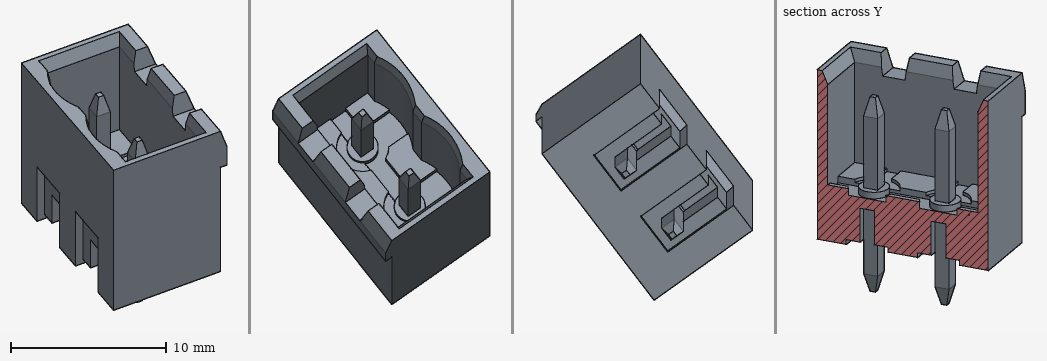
import cadquery as cq


width = 12.18
depth = 7.9
height = 11.89
overall_height = 15.24
pitch = 5.07
pole_xs = (-pitch / 2, pitch / 2)

rail_reach = 0.49
rail_slope_height = 1.52
rail_height = 3.06

side_wall = 0.76
front_wall = 1.3
rear_wall = 1.08
side_lead_in = 0.4
end_lead_in = 0.21
lead_in_depth = 0.91
cavity_floor_z = 3.96
cavity_half_x = width / 2 - side_wall
cavity_rear_y = depth - rear_wall
scallop_half_width = 2.07
scallop_sag = 0.55
scallop_overlap = 0.61

notch_floor_half_width = 0.8
notch_top_half_width = 1.0
notch_depth = rail_slope_height

pin_y = 3.8
pin_size = 1.0
pin_tip_size = 0.38
pin_tip_length = 1.3
pin_bottom_z = height - overall_height
pin_top_z = 10.27

channel_depth = 0.45
rear_slot_depth = 0.23
channel_front_y = 3.08
channel_rear_y = 4.3
relief_radius = 1.68
front_slot_width = 2.01
rear_slot_width = pin_size
collar_radius = 1.0

recess_width = 2.95
recess_height = 4.62
recess_depth = 0.56
recess_ceiling_drop = 0.34
pin_slot_height = 2.71
pin_slot_chamfer_height = 0.23
pin_slot_chamfer_depth = 0.099
foot_gap = 0.34


def box(x_min, x_max, y_min, y_max, z_min, z_max):
    """Box between the given limits."""
    size = (x_max - x_min, y_max - y_min, z_max - z_min)
    return cq.Workplane("XY").box(*size, centered=False).translate((x_min, y_min, z_min))


def side_profile(points, x_center, length):
    """Prism of a (Y, Z) outline, centred on x_center along X."""
    prism = cq.Workplane("YZ").polyline(points).close().extrude(length / 2, both=True)
    return prism.translate((x_center, 0, 0))


def housing_block():
    rail_y = depth + rail_reach
    outline = [
        (0, 0),
        (depth, 0),
        (depth, height - rail_height),
        (rail_y, height - rail_height),
        (rail_y, height - rail_slope_height),
        (depth, height),
        (0, height),
    ]
    return side_profile(outline, 0, width)


def scallop(workplane, x, front_y):
    """Arc bulging forward from the flat front wall of the cavity, closed behind that wall."""
    back_y = front_y + scallop_overlap
    return (
        workplane.moveTo(x - scallop_half_width, front_y)
        .threePointArc((x, front_y - scallop_sag), (x + scallop_half_width, front_y))
        .lineTo(x + scallop_half_width, back_y)
        .lineTo(x - scallop_half_width, back_y)
        .close()
    )


def cavity():
    lead_in_z = height - lead_in_depth
    center_y = (front_wall + cavity_rear_y) / 2
    length_x = 2 * cavity_half_x
    length_y = cavity_rear_y - front_wall
    space = box(-cavity_half_x, cavity_half_x, front_wall, cavity_rear_y, cavity_floor_z, height)
    mouth = (
        cq.Workplane("XY", origin=(0, center_y, lead_in_z))
        .rect(length_x, length_y)
        .workplane(offset=lead_in_depth)
        .rect(length_x + 2 * side_lead_in, length_y + 2 * end_lead_in)
        .loft(ruled=True)
    )
    space = space.union(mouth)
    for x in pole_xs:
        base = cq.Workplane("XY", origin=(0, 0, cavity_floor_z))
        space = space.union(scallop(base, x, front_wall).extrude(height - cavity_floor_z))
        lower = scallop(cq.Workplane("XY", origin=(0, 0, lead_in_z)), x, front_wall)
        upper = lower.workplane(offset=lead_in_depth)
        space = space.union(scallop(upper, x, front_wall - end_lead_in).loft(ruled=True))
    return space


def keying_notch(x):
    outline = [
        (x - notch_floor_half_width, height - notch_depth),
        (x + notch_floor_half_width, height - notch_depth),
        (x + notch_top_half_width, height),
        (x - notch_top_half_width, height),
    ]
    length = rear_wall + rail_reach
    return cq.Workplane("XZ", origin=(0, cavity_rear_y, 0)).polyline(outline).close().extrude(-length)


def floor_slot(x, slot_width, y_min, y_max, depth_below_floor):
    """Slot along Y in the cavity floor, between the given Y limits."""
    half = slot_width / 2
    bottom_z = cavity_floor_z - depth_below_floor
    return box(x - half, x + half, y_min, y_max, bottom_z, cavity_floor_z)


def floor_disc(x, radius, depth_below_floor):
    """Disc round a pin, reaching from the cavity floor down."""
    disc = cq.Workplane("XY", origin=(x, pin_y, cavity_floor_z)).circle(radius)
    return disc.extrude(-depth_below_floor)


def floor_relief():
    """Cross channel with a front and a rear slot at every pole, leaving a collar round each pin."""
    disc_width = 2 * relief_radius
    relief = floor_slot(0, 2 * cavity_half_x, channel_front_y, channel_rear_y, channel_depth)
    cavity_outline = cavity().translate((0, 0, -channel_depth))
    for x in pole_xs:
        front_limits = floor_slot(x, disc_width, 0, channel_rear_y, channel_depth)
        front_disc = floor_disc(x, relief_radius, channel_depth).intersect(front_limits)
        front_slot = floor_slot(x, front_slot_width, 0, pin_y, channel_depth).intersect(cavity_outline)
        rear_limits = floor_slot(x, disc_width, channel_rear_y, cavity_rear_y, rear_slot_depth)
        rear_disc = floor_disc(x, relief_radius, rear_slot_depth).intersect(rear_limits)
        rear_slot = floor_slot(x, rear_slot_width, channel_rear_y, cavity_rear_y, rear_slot_depth)
        relief = relief.union(front_disc).union(front_slot).union(rear_disc).union(rear_slot)
    for x in pole_xs:
        relief = relief.cut(floor_disc(x, collar_radius, channel_depth))
    return relief


def foot_recess(x):
    """Front recess with a sloped ceiling, the slot leading to the pin and the gap under the foot."""
    recess = side_profile(
        [
            (0, 0),
            (recess_depth, 0),
            (recess_depth, recess_height - recess_ceiling_drop),
            (0, recess_height),
        ],
        x,
        recess_width,
    )
    pin_front_y = pin_y - pin_size / 2
    pin_slot = side_profile(
        [
            (0, 0),
            (pin_front_y, 0),
            (pin_front_y, pin_slot_height - pin_slot_chamfer_height),
            (pin_front_y - pin_slot_chamfer_depth, pin_slot_height),
            (0, pin_slot_height),
        ],
        x,
        pin_size,
    )
    half = recess_width / 2
    gap = box(x - half, x + half, 0, pin_y + half, 0, foot_gap)
    return recess.union(pin_slot).union(gap)


def pin(x):
    """Square pin with a tapered tip at both ends."""
    shank_bottom_z = pin_bottom_z + pin_tip_length
    shank_top_z = pin_top_z - pin_tip_length
    shank = cq.Workplane("XY").rect(pin_size, pin_size).extrude(shank_top_z - shank_bottom_z)
    body = shank.translate((x, pin_y, shank_bottom_z))
    for z, direction in ((shank_bottom_z, -1), (shank_top_z, 1)):
        tip = (
            cq.Workplane("XY", origin=(x, pin_y, z))
            .rect(pin_size, pin_size)
            .workplane(offset=direction * pin_tip_length)
            .rect(pin_tip_size, pin_tip_size)
            .loft(ruled=True)
        )
        body = body.union(tip)
    return body


housing = housing_block().cut(cavity()).cut(floor_relief())
for pole_x in pole_xs:
    housing = housing.cut(keying_notch(pole_x)).cut(foot_recess(pole_x))

result = housing
for pole_x in pole_xs:
    result = result.union(pin(pole_x))